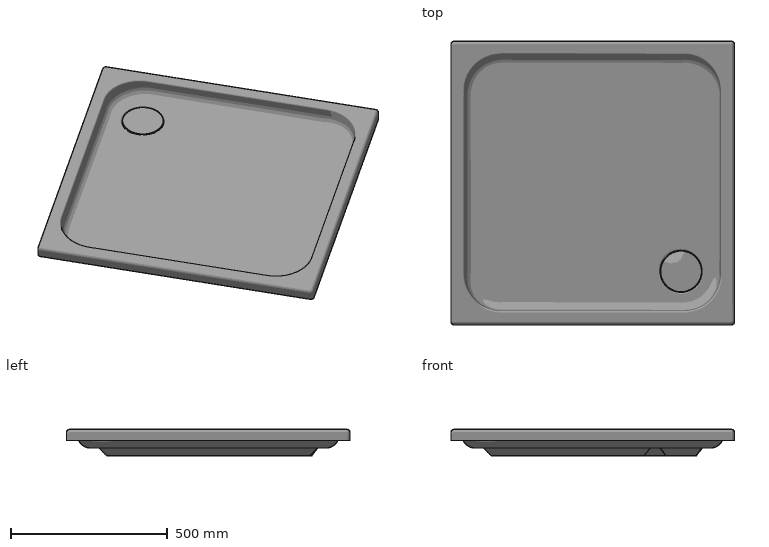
import cadquery as cq
import math

SIDE = 907.0
HEIGHT = 85.0
RIM_HEIGHT = 36.0
RIM_ROUND = 12.0

MOUTH_INSET = 43.5
WALL_DRAFT = 5.0
LIP_ROUND = 5.0
COVE_ROUND = 31.0
FLOOR_Z = 31.0
FLOOR_THICKNESS = 6.0
WALL_THICKNESS = 10.0
UNDERSIDE_ROUND = 43.5
CORNER_CENTER_INSET = 161.0

FOOT_INSET = 130.0
FOOT_SLOPE = 45.0

HOLLOW_X = 363.0
HOLLOW_Y = -363.0
HOLLOW_BOTTOM_RADIUS = 204.0

DRAIN_X = 282.0
DRAIN_Y = -282.0
DRAIN_BOTTOM_DIAMETER = 90.0
DRAIN_TOP_DIAMETER = 137.0
DRAIN_WALL = 4.0
DRAIN_EDGE_ROUND = 12.0

COVER_DIAMETER = 130.0
COVER_EDGE_Z = 27.0
COVER_EDGE = 3.0
COVER_DOME = 8.0

RIM_Z = HEIGHT - RIM_HEIGHT
UNDERSIDE_Z = FLOOR_Z - FLOOR_THICKNESS


def tapered_square(inset, start_z, end_z, taper):
    """Rounded square block, inset by the given amount at start_z and narrowing toward end_z below."""
    side = SIDE - 2 * inset
    corner = CORNER_CENTER_INSET - inset
    outline = cq.Sketch().rect(side, side).vertices().fillet(corner)
    return (
        cq.Workplane("XY")
        .workplane(offset=start_z)
        .placeSketch(outline)
        .extrude(end_z - start_z, taper=taper)
    )


def basin_shape(mouth_inset, bottom_z, bottom_round):
    """Drafted block from the top of the tray down, with its bottom edge rounded."""
    shape = tapered_square(mouth_inset, HEIGHT, bottom_z, WALL_DRAFT)
    return shape.faces("<Z").edges().fillet(bottom_round)


def upright_cone(x, y, bottom_radius, top_radius, height):
    cone = cq.Solid.makeCone(bottom_radius, top_radius, height)
    return cq.Workplane(cone.translate(cq.Vector(x, y, 0)))


def make_rim():
    rim = cq.Workplane("XY").workplane(offset=RIM_Z).rect(SIDE, SIDE).extrude(RIM_HEIGHT)
    rim = rim.edges("|Z").fillet(RIM_ROUND)
    return rim.faces(">Z").edges().fillet(RIM_ROUND)


def make_basin_outside():
    """Outside of the basin's wall and floor; its upper part lies within the rim."""
    return basin_shape(MOUTH_INSET - WALL_THICKNESS, UNDERSIDE_Z, UNDERSIDE_ROUND)


def make_foot():
    slope_run = UNDERSIDE_Z * math.tan(math.radians(FOOT_SLOPE))
    foot = tapered_square(FOOT_INSET - slope_run, UNDERSIDE_Z, 0, FOOT_SLOPE)
    hollow_top_radius = HOLLOW_BOTTOM_RADIUS - slope_run
    hollow = upright_cone(HOLLOW_X, HOLLOW_Y, HOLLOW_BOTTOM_RADIUS, hollow_top_radius, UNDERSIDE_Z)
    return foot.cut(hollow)


def round_lip(tray):
    reach = SIDE / 2 - MOUTH_INSET + LIP_ROUND
    lip_edges = cq.selectors.BoxSelector(
        (-reach, -reach, HEIGHT - LIP_ROUND), (reach, reach, HEIGHT + LIP_ROUND), boundingbox=True
    )
    return tray.edges(lip_edges).fillet(LIP_ROUND)


def add_drain(tray):
    bottom_radius = DRAIN_BOTTOM_DIAMETER / 2
    top_radius = DRAIN_TOP_DIAMETER / 2
    outside = upright_cone(
        DRAIN_X, DRAIN_Y, bottom_radius + DRAIN_WALL, top_radius + DRAIN_WALL, FLOOR_Z
    )
    opening = upright_cone(DRAIN_X, DRAIN_Y, bottom_radius, top_radius, FLOOR_Z)
    tray = tray.union(outside).cut(opening)
    floor_edge = cq.selectors.NearestToPointSelector((DRAIN_X, DRAIN_Y, FLOOR_Z))
    return tray.edges("%CIRCLE").edges(floor_edge).fillet(DRAIN_EDGE_ROUND)


def make_tray():
    tray = make_rim().union(make_basin_outside()).union(make_foot())
    tray = tray.cut(basin_shape(MOUTH_INSET, FLOOR_Z, COVE_ROUND))
    return add_drain(round_lip(tray))


def make_cover():
    radius = COVER_DIAMETER / 2
    dome_radius = (radius**2 + COVER_DOME**2) / (2 * COVER_DOME)
    cover = (
        cq.Workplane("XZ")
        .lineTo(radius, 0)
        .lineTo(radius, COVER_EDGE)
        .radiusArc((0, COVER_EDGE + COVER_DOME), -dome_radius)
        .close()
        .revolve(360, (0, 0), (0, 1))
    )
    return cover.translate((DRAIN_X, DRAIN_Y, COVER_EDGE_Z))


tray = make_tray().solids()
cover = make_cover()
result = cq.Compound.makeCompound([tray.val(), cover.val()])